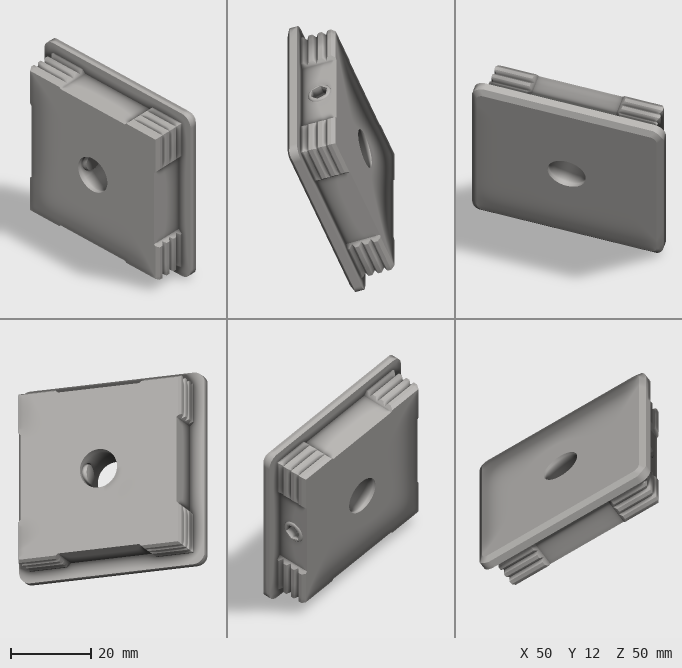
import cadquery as cq
import math


flange_width = 50.0
flange_thickness = 3.0
flange_corner_radius = 3.0
bevel_inset = 1.5
bevel_depth = 1.0
bevel_corner_radius = 1.7

core_length = 9.0
core_half = 21.0
rib_height = 1.0
rib_half = core_half + rib_height
rib_pitch = 2.5
groove_count = 3
groove_depth = 0.7
first_groove_start = 0.5
groove_valley_offset = 0.9
groove_end_offset = 1.5
end_bevel_length = 1.0
end_bevel_inset = 0.55
recess_half = 11.0

bore_radius = 5.0

screw_radius = 3.0
screw_length = 17.4
screw_protrusion = 0.35
screw_y = -core_length / 2
screw_tip_rounding = 0.6
screw_end_taper_length = 1.0
screw_end_taper_inset = 0.45
socket_flats = 4.0
socket_depth = 2.5
socket_turn = 10.0

clearance = 0.5


def rounded_square(width, radius, y):
    """Sketch of a rounded square in the XZ plane at height y."""
    outline = cq.Sketch().rect(width, width).vertices().fillet(radius)
    return cq.Workplane("XZ", origin=(0, y, 0)).placeSketch(outline)


def make_flange():
    """Plate with rounded corners whose outer face has a sloped border."""
    plate = rounded_square(flange_width, flange_corner_radius, flange_thickness).extrude(flange_thickness)
    bevel_start = flange_thickness - bevel_depth
    straight_part = rounded_square(flange_width, bevel_corner_radius, bevel_start).extrude(bevel_start)
    large = cq.Sketch().rect(flange_width, flange_width).vertices().fillet(bevel_corner_radius)
    small_width = flange_width - 2 * bevel_inset
    small = cq.Sketch().rect(small_width, small_width).vertices().fillet(bevel_corner_radius)
    sloped_part = (
        cq.Workplane("XZ", origin=(0, bevel_start, 0))
        .placeSketch(large, small.moved(cq.Location(cq.Vector(0, 0, -bevel_depth))))
        .loft()
    )
    return plate.intersect(straight_part.union(sloped_part))


def rib_profile():
    """Points (distance from axis, y) down one side of the ribbed core."""
    points = [(rib_half, 0)]
    for index in range(groove_count):
        start = first_groove_start + index * rib_pitch
        points.append((rib_half, -start))
        points.append((rib_half - groove_depth, -start - groove_valley_offset))
        points.append((rib_half, -start - groove_end_offset))
    points.append((rib_half, -core_length + end_bevel_length))
    points.append((rib_half - end_bevel_inset, -core_length))
    return points


def make_ribbed_block():
    """Square block whose four sides carry the rib profile, mitred at the corners."""
    right_side = rib_profile()
    left_side = [(-distance, y) for distance, y in reversed(right_side)]
    ribs_along_z = cq.Workplane("XY").polyline(right_side + left_side).close().extrude(rib_half, both=True)
    ribs_along_x = ribs_along_z.rotate((0, 0, 0), (0, 1, 0), 90)
    return ribs_along_z.intersect(ribs_along_x)


def make_recess():
    """Cutter for the smooth flat on the +Z side, with 45 degree ends."""
    top = core_half + rib_height + clearance
    top_half = recess_half + top - core_half
    outline = [(-recess_half, core_half), (recess_half, core_half), (top_half, top), (-top_half, top)]
    return cq.Workplane("XZ").polyline(outline).close().extrude(core_length)


def make_housing():
    """Flange and ribbed core in one piece, bored through and drilled for the set screw."""
    core = make_ribbed_block()
    for side in range(4):
        core = core.cut(make_recess().rotate((0, 0, 0), (0, 1, 0), 90 * side))
    body = make_flange().union(core)
    bore = cq.Workplane("XZ", origin=(0, flange_thickness, 0)).circle(bore_radius)
    body = body.cut(bore.extrude(flange_thickness + core_length))
    screw_hole = cq.Workplane("YZ", origin=(-core_half, screw_y, 0)).circle(screw_radius).extrude(core_half)
    return body.cut(screw_hole)


def make_set_screw():
    """Set screw along X with a rounded, socketed tip and a tapered inner end."""
    tip_x = -core_half - screw_protrusion
    screw = cq.Workplane("YZ", origin=(tip_x, screw_y, 0)).circle(screw_radius).extrude(screw_length)
    screw = screw.faces("<X").edges().fillet(screw_tip_rounding)
    screw = screw.faces(">X").chamfer(screw_end_taper_length, screw_end_taper_inset)
    socket_corners = socket_flats / math.cos(math.pi / 6)
    socket = (
        cq.Workplane("YZ", origin=(tip_x, screw_y, 0))
        .transformed(rotate=(0, 0, 90 + socket_turn))
        .polygon(6, socket_corners)
        .extrude(socket_depth)
    )
    return screw.cut(socket)


housing = make_housing()
set_screw = make_set_screw()

result = cq.Compound.makeCompound([housing.val(), set_screw.val()])